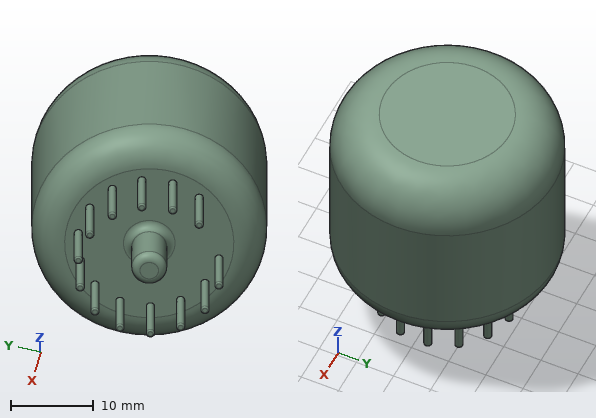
import cadquery as cq
import math

BODY_DIAMETER = 28.5
BODY_HEIGHT = 26.0
TOP_ROUND = 6.0
BOTTOM_ROUND = 4.0

BASE_DEPTH = 7.0

BOSS_DIAMETER = 4.25
BOSS_ROOT_FILLET = 1.0
BOSS_TIP_ROUND = 1.0

PIN_DIAMETER = 1.0
PIN_TIP_ROUND = 0.2
PIN_CIRCLE_RADIUS = 8.7
PIN_COUNT = 13
PIN_PITCH_ANGLE = 25.0
FIRST_PIN_ANGLE = -90.0

OVERLAP = 1.0


def make_body():
    """Cylinder with a large round on top and a smaller one below."""
    body = cq.Workplane("XY").circle(BODY_DIAMETER / 2).extrude(BODY_HEIGHT)
    body = body.faces(">Z").edges().fillet(TOP_ROUND)
    return body.faces("<Z").edges().fillet(BOTTOM_ROUND)


def make_boss():
    """Central boss, revolved from a half profile with a flared root and a rounded tip."""
    radius = BOSS_DIAMETER / 2
    root_radius = radius + BOSS_ROOT_FILLET
    diagonal = math.sqrt(0.5)
    root_middle = (
        root_radius - BOSS_ROOT_FILLET * diagonal,
        -BOSS_ROOT_FILLET * (1 - diagonal),
    )
    tip_center_x = radius - BOSS_TIP_ROUND
    tip_center_z = BOSS_TIP_ROUND - BASE_DEPTH
    tip_middle = (
        tip_center_x + BOSS_TIP_ROUND * diagonal,
        tip_center_z - BOSS_TIP_ROUND * diagonal,
    )
    return (
        cq.Workplane("XZ")
        .moveTo(0, OVERLAP)
        .lineTo(root_radius, OVERLAP)
        .lineTo(root_radius, 0)
        .threePointArc(root_middle, (radius, -BOSS_ROOT_FILLET))
        .lineTo(radius, tip_center_z)
        .threePointArc(tip_middle, (tip_center_x, -BASE_DEPTH))
        .lineTo(0, -BASE_DEPTH)
        .close()
        .revolve(360, (0, 0, 0), (0, 1, 0))
    )


def make_pin(angle):
    """Round-tipped pin on the pin circle, at an angle in degrees from +X."""
    x = PIN_CIRCLE_RADIUS * math.cos(math.radians(angle))
    y = PIN_CIRCLE_RADIUS * math.sin(math.radians(angle))
    pin = (
        cq.Workplane("XY", origin=(x, y, -BASE_DEPTH))
        .circle(PIN_DIAMETER / 2)
        .extrude(BASE_DEPTH + OVERLAP)
    )
    return pin.faces("<Z").edges().fillet(PIN_TIP_ROUND)


result = make_body().union(make_boss())
for index in range(PIN_COUNT):
    result = result.union(make_pin(FIRST_PIN_ANGLE + index * PIN_PITCH_ANGLE))